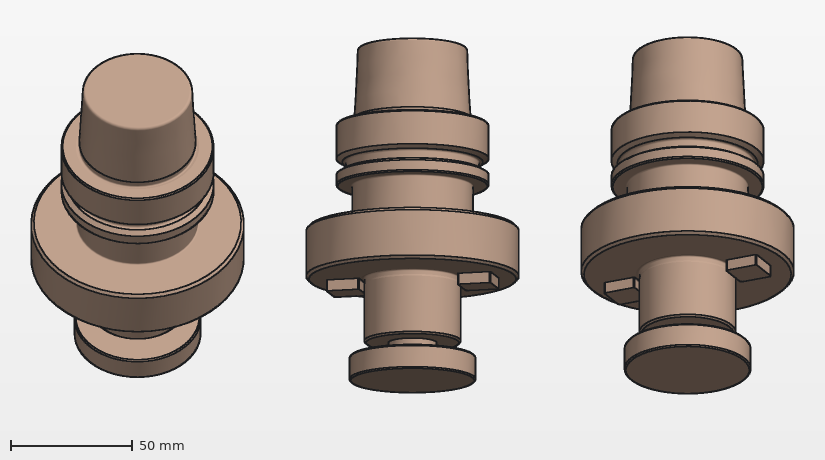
import cadquery as cq
import math


total_height = 139.9

taper_height = 32.0
taper_base_radius = 24.1
taper_slope = 1 / 20
taper_tip_fillet = 1.2

undercut_length = 2.6
undercut_depth = 0.2
undercut_lead_in = 0.75
undercut_corner = 0.6
undercut_reach = 1.4

flange_radius = 31.5
flange_height = 26.0
flange_chamfer = 0.6
groove_center = 17.85
groove_width = 4.0
groove_floor_radius = 27.55
groove_floor_fillet = 0.8
groove_flare_radius = 29.1
groove_flare_angle = 30.0
groove_flare_height = (flange_radius - groove_flare_radius) * math.tan(math.radians(groove_flare_angle))

neck_radius = 25.0
neck_fillet = 0.6

disk_radius = 44.0
disk_bottom = 65.1
disk_thickness = 21.5
disk_top = disk_bottom - disk_thickness
disk_chamfer = 1.2

spigot_radius = 20.0
spigot_length = 26.9
spigot_end = disk_bottom + spigot_length
spigot_chamfer = 0.8

screw_radius = 10.0
screw_fillet = 0.7
screw_head_radius = 26.1
screw_head_thickness = 10.1
screw_head_bottom = total_height - taper_height
screw_head_top = screw_head_bottom - screw_head_thickness
screw_head_chamfer = 0.6

key_size = 14.0
key_height = 4.6
key_offset = 28.0
key_chamfer = 0.5


def cylinder(radius, top_depth, bottom_depth):
    """Cylinder about Z between two depths."""
    return cq.Workplane("XY").workplane(offset=-bottom_depth).circle(radius).extrude(bottom_depth - top_depth)


def revolved(profile):
    """Solid of revolution about Z from a closed (radius, height) profile."""
    return profile.close().revolve(360, (0, 0, 0), (0, 1, 0))


def corner_fillet(shaft_radius, face_depth, size, side):
    """Ring filling the corner of a shaft and a face; side is +1 above the face, -1 below it."""
    face_z = -face_depth
    middle = size * (1 - math.sqrt(0.5))
    return revolved(
        cq.Workplane("XZ")
        .moveTo(shaft_radius - size, face_z)
        .lineTo(shaft_radius + size, face_z)
        .threePointArc(
            (shaft_radius + middle, face_z + side * middle),
            (shaft_radius, face_z + side * size),
        )
        .lineTo(shaft_radius - size, face_z + side * size)
    )


def undercut(shaft_radius, face_depth, side):
    """Cutter for a relief undercut; side is +1 for a shaft above the face, -1 below it."""
    face_z = -face_depth
    floor_radius = shaft_radius - undercut_depth
    floor_z = face_z - side * undercut_depth
    middle = undercut_corner * (1 - math.sqrt(0.5))
    return revolved(
        cq.Workplane("XZ")
        .moveTo(shaft_radius, face_z + side * undercut_length)
        .lineTo(floor_radius, face_z + side * (undercut_length - undercut_lead_in))
        .lineTo(floor_radius, floor_z + side * undercut_corner)
        .threePointArc(
            (floor_radius + middle, floor_z + side * middle),
            (floor_radius + undercut_corner, floor_z),
        )
        .lineTo(shaft_radius + undercut_reach, face_z)
        .lineTo(shaft_radius + undercut_reach, face_z + side * undercut_length)
    )


def taper():
    tip_radius = taper_base_radius - taper_slope * (taper_height - undercut_length)
    body = revolved(
        cq.Workplane("XZ")
        .moveTo(0, 0)
        .lineTo(taper_base_radius, 0)
        .lineTo(taper_base_radius, undercut_length)
        .lineTo(tip_radius, taper_height)
        .lineTo(0, taper_height)
    )
    return body.faces(">Z").edges().fillet(taper_tip_fillet)


def groove():
    """Ring cutter: straight-walled slot with a rounded floor, flaring out at the rim."""
    inner_half = groove_width / 2
    outer_half = inner_half + groove_flare_height
    slot = cylinder(flange_radius, groove_center - inner_half, groove_center + inner_half)
    slot = slot.cut(cylinder(groove_floor_radius, 0, flange_height))
    slot = slot.edges(cq.selectors.RadiusNthSelector(0)).fillet(groove_floor_fillet)
    flare = revolved(
        cq.Workplane("XZ")
        .moveTo(groove_flare_radius, inner_half - groove_center)
        .lineTo(flange_radius, outer_half - groove_center)
        .lineTo(flange_radius, -outer_half - groove_center)
        .lineTo(groove_flare_radius, -inner_half - groove_center)
    )
    return slot.union(flare)


def flange():
    body = cylinder(flange_radius, 0, flange_height)
    body = body.faces("<Z or >Z").edges().chamfer(flange_chamfer)
    return body.cut(groove())


def neck():
    body = cylinder(neck_radius, flange_height, disk_top)
    body = body.union(corner_fillet(neck_radius, flange_height, neck_fillet, -1))
    return body.union(corner_fillet(neck_radius, disk_top, neck_fillet, 1))


def drive_disk():
    body = cylinder(disk_radius, disk_top, disk_bottom)
    return body.faces("<Z or >Z").edges().chamfer(disk_chamfer)


def spigot():
    return cylinder(spigot_radius, disk_bottom, spigot_end).faces("<Z").edges().chamfer(spigot_chamfer)


def clamping_screw():
    head = cylinder(screw_head_radius, screw_head_top, screw_head_bottom)
    head = head.faces("<Z or >Z").edges().chamfer(screw_head_chamfer)
    shank = cylinder(screw_radius, spigot_end, screw_head_top)
    return head.union(shank).union(corner_fillet(screw_radius, screw_head_top, screw_fillet, 1))


def drive_keys():
    keys = (
        cq.Workplane("XY").workplane(offset=-disk_bottom)
        .pushPoints([(0, key_offset), (0, -key_offset)])
        .rect(key_size, key_size).extrude(-key_height)
    )
    return keys.edges("|Z").chamfer(key_chamfer)


body = taper()
for section in (flange(), neck(), drive_disk(), spigot(), clamping_screw()):
    body = body.union(section)
body = body.cut(undercut(taper_base_radius, 0, 1))
body = body.cut(undercut(spigot_radius, disk_bottom, -1))

result = body.union(drive_keys()).solids()